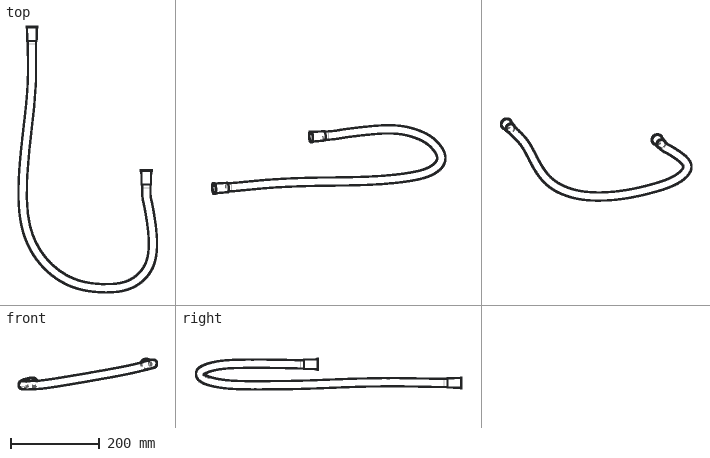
import cadquery as cq

HOSE_RADIUS = 9.5

LIP_RADIUS = 12.5
LIP_LENGTH = 1.5
CUFF_MOUTH_RADIUS = 11.5
CUFF_BACK_RADIUS = 11.0
CUFF_LENGTH = 32.5
COLLAR_RADIUS = HOSE_RADIUS
COLLAR_LENGTH = 7.0
FITTING_LENGTH = CUFF_LENGTH + COLLAR_LENGTH

LONG_END = cq.Vector(0, 0, 0)
SHORT_END = cq.Vector(257.5, -323.5, 42)
MOUTH_DIRECTION = cq.Vector(0, 1, 0)

BEND_PLANE_NORMAL = cq.Vector(-SHORT_END.z, 0, SHORT_END.x).normalized()

GUIDE_OFFSET = 30

HOSE_BENDS = [
    (0, -120, 1.0),
    (-9.5, -227.5, 0.5),
    (-19.0, -323.5, -3.0),
    (-21.0, -383.5, -5.0),
    (-11.0, -461.0, -5.5),
    (17.5, -518.0, -4.0),
    (86.0, -574.5, 6),
    (162.5, -589.5, 19.0),
    (227.0, -577.5, 32.0),
    (263.5, -539, 41.0),
    (272.5, -485, 43.0),
    (269.0, -443.5, 43.0),
    (260.5, -395.5, 42.5),
]


def make_fitting(mouth):
    """Turn one fitting about its axis, from the mouth back to the hose."""
    profile = [
        (0, 0),
        (LIP_RADIUS, 0),
        (LIP_RADIUS, LIP_LENGTH),
        (CUFF_MOUTH_RADIUS, LIP_LENGTH),
        (CUFF_BACK_RADIUS, CUFF_LENGTH),
        (COLLAR_RADIUS, CUFF_LENGTH),
        (COLLAR_RADIUS, FITTING_LENGTH),
        (0, FITTING_LENGTH),
    ]
    mouth_plane = cq.Plane(origin=mouth, xDir=(1, 0, 0), normal=(0, 0, 1))
    return (
        cq.Workplane(mouth_plane)
        .polyline([(radius, -depth) for radius, depth in profile])
        .close()
        .revolve(360, (0, 0), (0, 1))
    )


def make_hose():
    """Sweep a round section along the bent centreline from collar to collar."""
    start = LONG_END - MOUTH_DIRECTION * FITTING_LENGTH
    finish = SHORT_END - MOUTH_DIRECTION * FITTING_LENGTH
    points = [start] + [cq.Vector(*bend) for bend in HOSE_BENDS] + [finish]
    centreline = cq.Edge.makeSpline(points, tangents=[-MOUTH_DIRECTION, MOUTH_DIRECTION])
    guide = centreline.translate(BEND_PLANE_NORMAL * GUIDE_OFFSET)
    section_plane = cq.Plane(origin=start, xDir=(1, 0, 0), normal=-MOUTH_DIRECTION)
    return (
        cq.Workplane(section_plane)
        .circle(HOSE_RADIUS)
        .sweep(cq.Workplane(obj=centreline), auxSpine=cq.Workplane(obj=guide))
    )


result = make_hose().union(make_fitting(LONG_END)).union(make_fitting(SHORT_END))